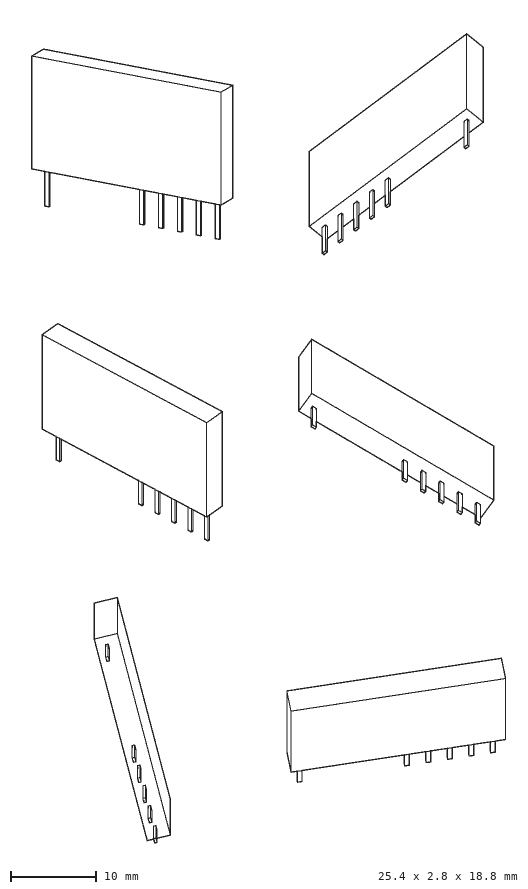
import cadquery as cq

HOUSING_LENGTH = 25.4
HOUSING_DEPTH = 2.8
HOUSING_HEIGHT = 13.97

PIN_WIDTH = 0.55
PIN_THICKNESS = 0.3
PIN_LENGTH = 4.83
PIN_OFFSET_Y = 0.1
PIN_PITCH = HOUSING_LENGTH / 10
PIN_POSITIONS = (0, 5, 6, 7, 8, 9)
FIRST_PIN_X = (PIN_PITCH - HOUSING_LENGTH) / 2


def make_housing():
    """Rectangular block centred on X and Y."""
    return cq.Workplane("XY").box(
        HOUSING_LENGTH, HOUSING_DEPTH, HOUSING_HEIGHT, centered=(True, True, False)
    )


def make_pin(position):
    """Rectangular pin hanging from the housing's underside."""
    x = FIRST_PIN_X + position * PIN_PITCH
    return (
        cq.Workplane("XY")
        .center(x, PIN_OFFSET_Y)
        .rect(PIN_WIDTH, PIN_THICKNESS)
        .extrude(-PIN_LENGTH)
    )


housing = make_housing()
pins = [make_pin(position) for position in PIN_POSITIONS]

result = cq.Compound.makeCompound([housing.val(), *[pin.val() for pin in pins]])